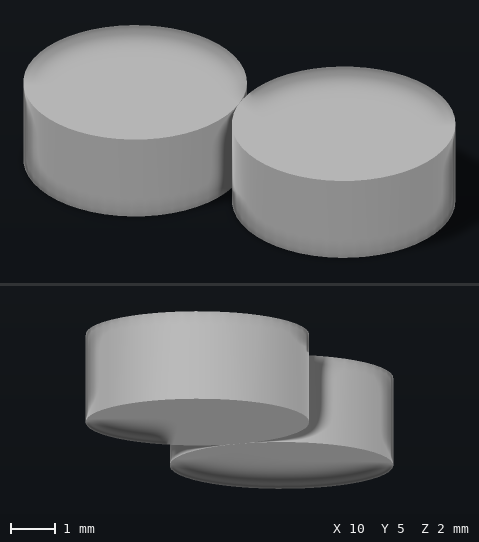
import cadquery as cq

DISC_DIAMETER = 5.0
DISC_HEIGHT = 2.0
DISC_CENTERS_X = (-DISC_DIAMETER / 2, DISC_DIAMETER / 2)


def make_disc(center_x):
    """Upright disc standing on the XY plane, centred on the X axis."""
    return (
        cq.Workplane("XY")
        .center(center_x, 0)
        .circle(DISC_DIAMETER / 2)
        .extrude(DISC_HEIGHT)
    )


discs = [make_disc(center_x) for center_x in DISC_CENTERS_X]

result = cq.Compound.makeCompound([disc.val() for disc in discs])